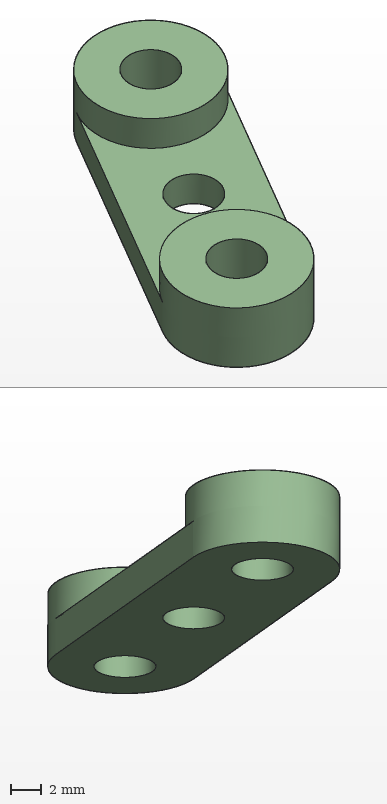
import cadquery as cq

length = 30.0
width = length / 3
height = width / 2
hole_diameter = 0.4 * width

bar_thickness = height / 2
boss_height = height - bar_thickness
end_spacing = length - width
end_centers = [(-end_spacing / 2, 0), (end_spacing / 2, 0)]
hole_centers = end_centers + [(0, 0)]


def make_bar():
    """Flat bar with fully rounded ends, resting on Z = 0."""
    return cq.Workplane("XY").slot2D(length, width).extrude(bar_thickness)


def make_bosses():
    """Round raised pads, one concentric with each bar end."""
    return (
        cq.Workplane("XY")
        .workplane(offset=bar_thickness)
        .pushPoints(end_centers)
        .circle(width / 2)
        .extrude(boss_height)
    )


def make_holes():
    """Through-hole cutters at both ends and the middle of the bar."""
    return (
        cq.Workplane("XY")
        .pushPoints(hole_centers)
        .circle(hole_diameter / 2)
        .extrude(height)
    )


result = make_bar().union(make_bosses()).cut(make_holes())